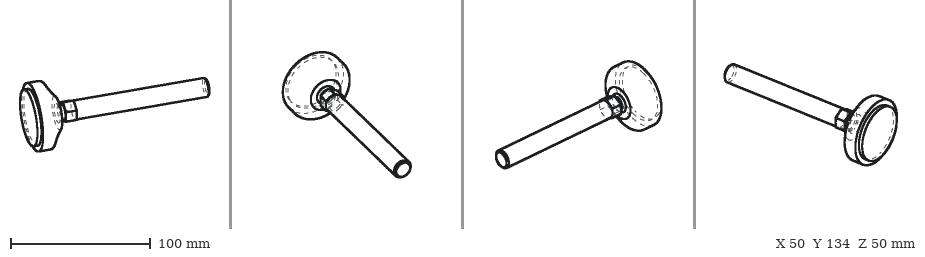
import cadquery as cq
import math

total_length = 134.0

pad_diameter = 41.5
pad_height = 3.0
base_diameter = 50.0
rim_top = 11.7
rim_round_radius = 2.0
rim_round_angle = math.radians(60)
base_top = 21.5
base_top_radius = 12.3
slope_sag = 0.4

neck_diameter = 11.0
flare_radius = 7.2
flare_top = 23.2
hex_bottom = 25.9
hex_height = 8.0
stud_diameter = 14.0
hex_across_flats = 14.1
stud_chamfer = 1.2

hex_top = hex_bottom + hex_height
axis_middle = total_length / 2


def cylinder(diameter, start, end):
    """Round bar on the Y axis between two heights above the pad face."""
    plane = cq.Workplane("XZ", origin=(0, start - axis_middle, 0))
    return plane.circle(diameter / 2).extrude(start - end)


def make_base():
    """Revolved base with a rounded rim, a concave slope and a flared neck seat."""
    base_radius = base_diameter / 2
    round_center = base_radius - rim_round_radius

    def rim_point(angle):
        return (
            round_center + rim_round_radius * math.cos(angle),
            rim_top + rim_round_radius * math.sin(angle),
        )

    slope_start = rim_point(rim_round_angle)
    slope_width = slope_start[0] - base_top_radius
    slope_height = base_top - slope_start[1]
    slope_length = math.hypot(slope_width, slope_height)
    slope_middle = (
        (slope_start[0] + base_top_radius) / 2 - slope_sag * slope_height / slope_length,
        (slope_start[1] + base_top) / 2 - slope_sag * slope_width / slope_length,
    )
    profile = (
        cq.Workplane("XY", origin=(0, -axis_middle, 0))
        .moveTo(0, pad_height)
        .lineTo(base_radius, pad_height)
        .lineTo(base_radius, rim_top)
        .threePointArc(rim_point(rim_round_angle / 2), slope_start)
        .threePointArc(slope_middle, (base_top_radius, base_top))
        .lineTo(flare_radius, base_top)
        .lineTo(neck_diameter / 2, flare_top)
        .lineTo(0, flare_top)
        .close()
    )
    return profile.revolve(360, (0, 0, 0), (0, 1, 0))


def make_hexagon():
    """Wrench hexagon with corners pointing along +Z and -Z."""
    across_corners = hex_across_flats / math.cos(math.radians(30))
    return (
        cq.Workplane("XZ", origin=(0, hex_bottom - axis_middle, 0))
        .transformed(rotate=(0, 0, 90))
        .polygon(6, across_corners)
        .extrude(-hex_height)
    )


pad = cylinder(pad_diameter, 0, pad_height)
neck = cylinder(neck_diameter, flare_top, hex_bottom)
stud = cylinder(stud_diameter, hex_top, total_length).faces(">Y").chamfer(stud_chamfer)

result = make_base().union(pad).union(neck).union(make_hexagon()).union(stud)